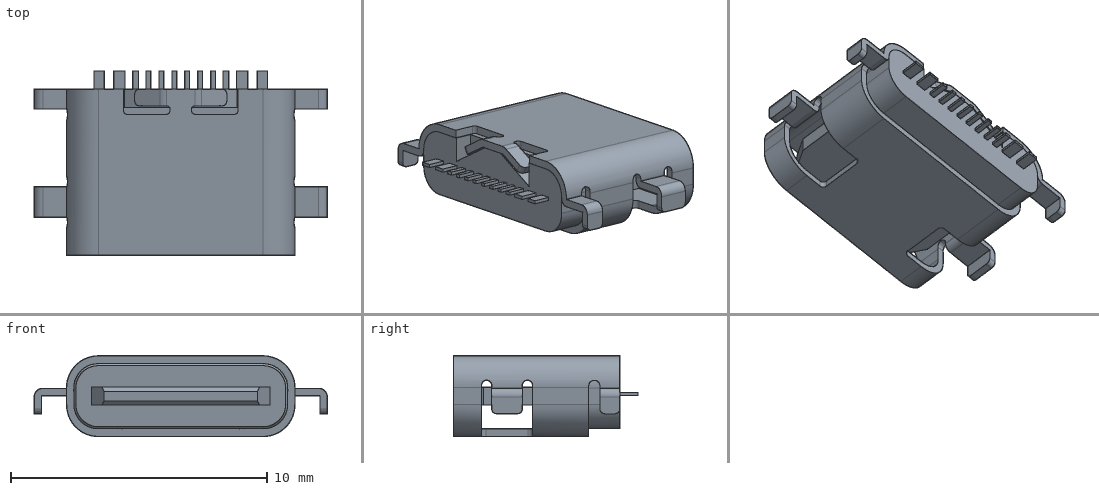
import cadquery as cq
import math

shell_width = 8.92
shell_height = 3.16
shell_depth = 6.49
shell_radius = 1.25
side_wall = 0.29
roof = 0.31
cavity_radius = 0.95

leg_span = 11.45
leg_sheet = 0.3
leg_top = 0.31
leg_bottom = -0.69
leg_bend_radius = 0.34
leg_root_radius = 0.29
leg_tip_radius = 0.2
front_leg_start = 1.49
front_leg_length = 1.2
rear_leg_length = 0.78

front_slot_width = 0.39
rear_slot_width = 0.44
slot_top = 0.62
window_inner_x = 2.29
window_corner = 0.17

notch_outer_x = 2.23
notch_inner_x = 0.42
notch_front = 5.51
notch_corner = 0.14
wing_front = 5.84
wing_bend_x = 0.55
wing_tip_x = 1.8
wing_bend_radius = 0.53
wing_angle = 29.0
wing_corner = 0.2
recess_outer_x = 2.2
recess_front = 5.77

core_front = 3.44
core_chamfer = 0.08
tongue_width = 6.98
tongue_thickness = 0.7
tongue_tip = 0.3
tongue_tip_width = 5.98
tongue_bevel_length = 0.87
tongue_chamfer_y = 0.16
tongue_chamfer_z = 0.16
contact_length = 0.71
contact_top = 0.15
contact_thickness = 0.13
contact_pitch = 0.5
contacts = [
    (0.5 * contact_pitch, 0.2),
    (1.5 * contact_pitch, 0.2),
    (2.5 * contact_pitch, 0.2),
    (3.5 * contact_pitch, 0.23),
    (2.39, 0.45),
    (3.18, 0.41),
]

half_width = shell_width / 2
half_height = shell_height / 2
cavity_half_width = half_width - side_wall
cavity_top = half_height - roof
front_leg_end = front_leg_start + front_leg_length
rear_leg_start = shell_depth - rear_leg_length
window_start = front_leg_start - front_slot_width
window_end = front_leg_end + front_slot_width
rear_cut_start = rear_leg_start - rear_slot_width


def box(x_range, y_range, z_range):
    """Box between the given limits along each axis."""
    size = [high - low for low, high in (x_range, y_range, z_range)]
    corner = (x_range[0], y_range[0], z_range[0])
    return cq.Workplane("XY").box(*size, centered=False).translate(corner)


def along_y(start):
    """XZ sketch plane at Y = start whose extrusions run toward +Y."""
    return cq.Workplane(cq.Plane(origin=(0, start, 0), xDir=(1, 0, 0), normal=(0, -1, 0)))


def rounded_block(width, height, radius, start, end):
    """Rounded rectangle centred on the Y axis, from Y = start to Y = end."""
    return along_y(start).rect(width, height).extrude(start - end).edges("|Y").fillet(radius)


def cavity(start, end):
    """Space inside the shell from Y = start to Y = end."""
    return rounded_block(2 * cavity_half_width, 2 * cavity_top, cavity_radius, start, end)


def both_sides(solid):
    """The given +X feature together with its mirror image."""
    return solid.union(solid.mirror("YZ"))


def relief_slot(start, width):
    """Round-topped slot through the +X side wall, down to Z = 0."""
    radius = width / 2
    inner_x = cavity_half_width - side_wall
    slot = box((inner_x, half_width), (start, start + width), (0, slot_top - radius))
    round_top = (
        cq.Workplane("YZ", origin=(inner_x, 0, 0))
        .center(start + radius, slot_top - radius)
        .circle(radius)
        .extrude(half_width - inner_x)
    )
    return slot.union(round_top)


def side_window():
    """Opening below the front leg, reaching round into the shell floor."""
    window = box((window_inner_x, half_width), (window_start, window_end), (-half_height, leg_top))
    return window.edges("|Z and <X").fillet(window_corner)


def rear_cut():
    """Everything of the shell below the rear legs, across the full width."""
    return box((-half_width, half_width), (rear_cut_start, shell_depth), (-half_height, leg_top))


def leg(start, length):
    """L-shaped solder leg on the +X side."""
    outer_x = leg_span / 2
    y_range = (start, start + length)
    plate = box((cavity_half_width, outer_x), y_range, (leg_top - leg_sheet, leg_top))
    plate = plate.edges("|Y and <X and <Z").fillet(leg_root_radius)
    foot = box((outer_x - leg_sheet, outer_x), y_range, (leg_bottom, leg_top))
    foot = foot.edges("|X and <Z").fillet(leg_tip_radius)
    return plate.union(foot).edges("|Y and >X and >Z").fillet(leg_bend_radius)


def bend_point(radius, angle):
    """Point on the wing bend, at an angle in degrees from its start."""
    turn = math.radians(angle)
    centre_z = half_height - wing_bend_radius
    return (wing_bend_x + radius * math.sin(turn), centre_z + radius * math.cos(turn))


def slope_point(start, x):
    """Point at the given X on the wing slope that passes through start."""
    return (x, start[1] - (x - start[0]) * math.tan(math.radians(wing_angle)))


wing_inner_radius = wing_bend_radius - roof
inner_bend_mid = bend_point(wing_inner_radius, wing_angle / 2)
inner_bend_end = bend_point(wing_inner_radius, wing_angle)


def rear_notch():
    """Opening in the shell roof in front of and around the +X wing."""
    z_range = (cavity_top, half_height)
    slot = box((notch_inner_x, notch_outer_x), (notch_front, wing_front), z_range)
    slot = slot.edges("|Z").edges("<X or <Y").fillet(notch_corner)
    wing_gap = box((wing_bend_x, notch_outer_x), (wing_front - notch_corner, shell_depth), z_range)
    return slot.union(wing_gap)


def wing():
    """+X wing: a bend and a straight slope with rounded tip corners."""
    outer_end = bend_point(wing_bend_radius, wing_angle)
    outer_tip = slope_point(outer_end, wing_tip_x)
    inner_tip = (
        outer_tip[0] - roof * math.sin(math.radians(wing_angle)),
        outer_tip[1] - roof * math.cos(math.radians(wing_angle)),
    )
    profile = (
        along_y(wing_front)
        .moveTo(wing_bend_x, half_height)
        .threePointArc(bend_point(wing_bend_radius, wing_angle / 2), outer_end)
        .lineTo(*outer_tip)
        .lineTo(*inner_tip)
        .lineTo(*inner_bend_end)
        .threePointArc(inner_bend_mid, (wing_bend_x, cavity_top))
        .close()
    )
    solid = profile.extrude(wing_front - shell_depth)
    return solid.faces(">X").edges("not |Y").fillet(wing_corner)


def wing_recess():
    """Pocket in the core below the +X wing.

    Its floor has the shape of the wing's underside, moved toward the middle
    so that it starts to fall at the inner end of the notch and clears the wing.
    """
    shift = wing_bend_x - notch_inner_x
    wall_x = recess_outer_x + shift
    profile = (
        along_y(recess_front)
        .moveTo(wing_bend_x, cavity_top)
        .threePointArc(inner_bend_mid, inner_bend_end)
        .lineTo(*slope_point(inner_bend_end, wall_x))
        .lineTo(wall_x, cavity_top)
        .close()
    )
    return profile.extrude(recess_front - shell_depth).translate((-shift, 0, 0))


def make_shell():
    body = rounded_block(shell_width, shell_height, shell_radius, 0, shell_depth)
    body = body.cut(cavity(0, shell_depth))
    body = body.cut(both_sides(side_window()))
    body = body.cut(rear_cut())
    slots = [
        (window_start, front_slot_width),
        (front_leg_end, front_slot_width),
        (rear_cut_start, rear_slot_width),
    ]
    for start, width in slots:
        body = body.cut(both_sides(relief_slot(start, width)))
    body = body.cut(both_sides(rear_notch()))
    body = body.union(both_sides(wing()))
    body = body.union(both_sides(leg(front_leg_start, front_leg_length)))
    return body.union(both_sides(leg(rear_leg_start, rear_leg_length)))


def tongue():
    """Flat tongue with bevelled front corners and a chamfered front edge."""
    half_tip = tongue_tip_width / 2
    half_root = tongue_width / 2
    bevel_end = tongue_tip + tongue_bevel_length
    plan = (
        cq.Workplane("XY", origin=(0, 0, -tongue_thickness / 2))
        .polyline([
            (-half_tip, tongue_tip),
            (half_tip, tongue_tip),
            (half_root, bevel_end),
            (half_root, core_front),
            (-half_root, core_front),
            (-half_root, bevel_end),
        ])
        .close()
        .extrude(tongue_thickness)
    )
    half_thickness = tongue_thickness / 2
    half_nose = half_thickness - tongue_chamfer_z
    chamfer_end = tongue_tip + tongue_chamfer_y
    side = (
        cq.Workplane("YZ", origin=(-half_root, 0, 0))
        .polyline([
            (tongue_tip, -half_nose),
            (chamfer_end, -half_thickness),
            (core_front, -half_thickness),
            (core_front, half_thickness),
            (chamfer_end, half_thickness),
            (tongue_tip, half_nose),
        ])
        .close()
        .extrude(tongue_width)
    )
    return plan.intersect(side)


def contact(centre_x, width):
    """Contact tail standing out of the back of the core."""
    x_range = (centre_x - width / 2, centre_x + width / 2)
    y_range = (shell_depth, shell_depth + contact_length)
    return box(x_range, y_range, (contact_top - contact_thickness, contact_top))


def make_core():
    body = cavity(core_front, shell_depth).faces("<Y").chamfer(core_chamfer)
    body = body.cut(both_sides(wing_recess())).union(tongue())
    for offset, width in contacts:
        body = body.union(both_sides(contact(offset, width)))
    return body


shell = make_shell()
core = make_core()

result = cq.Compound.makeCompound([shell.solids().val(), core.solids().val()])